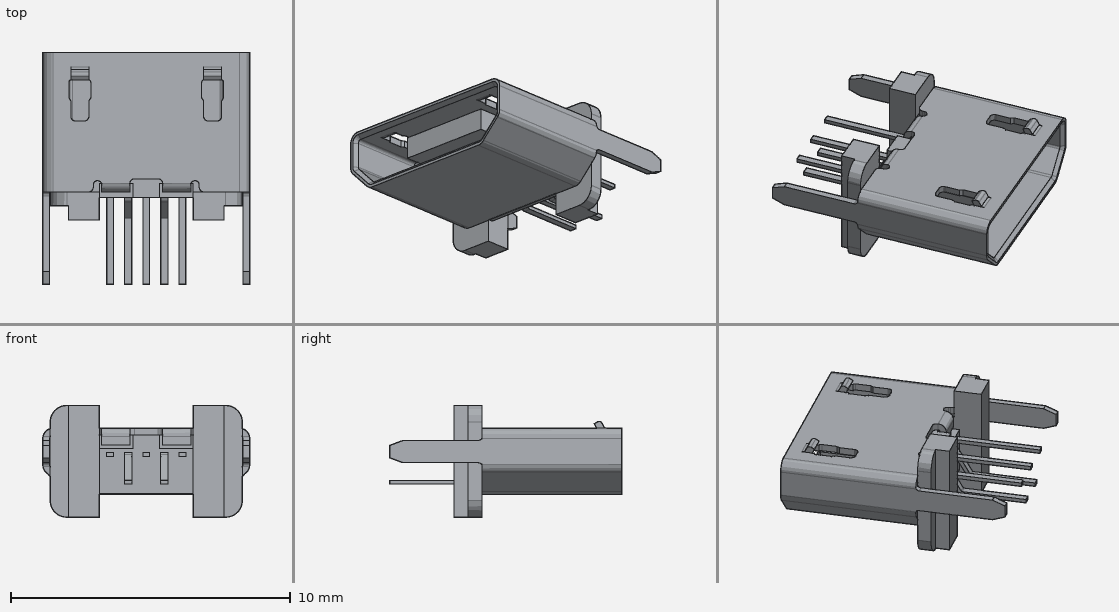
import cadquery as cq
import math


shell_length = 5.0
leg_length = 3.3
shell_half_width = 3.7
shell_half_height = 1.19
sheet = 0.25
mouth_chamfer = 0.14
corner_radius = 0.37
slope_top_z = -0.27

leg_top_z = 0.75
leg_bottom_z = -0.05
leg_root_radius = 0.13
leg_taper_length = 0.465
leg_taper_height = 0.175

window_x = 2.37
window_front_y = 4.01
window_rear_y = 2.54
window_step_y = 3.37
window_step_length = 0.11
window_wide_half = 0.39
window_half = 0.32
window_front_radius = 0.08
window_rear_radius = 0.17
hook_foot_y = 4.47
hook_rise_y = 4.37
hook_rise_z = 1.21
hook_bend_y = 4.28
hook_bend_z = 1.38
hook_top_y = 4.21
hook_top_z = 1.43
hook_crest_y = 4.13
hook_crest_z = 1.42
hook_tip_z = 1.345
hook_end_y = 4.12
hook_end_z = 1.12
hook_under_y = 4.26
hook_under_z = 1.005

tab_inner_x = 0.59
tab_outer_x = 1.59
tab_bottom_z = 0.59
tab_bend_radius = 0.3
notch_depth = 0.47
notch_radius = 0.17
relief_radius = 0.15
relief_depth = 0.41
relief_flare_radius = 0.18

ear_outer_x = 3.44
ear_half_height = 2.0
ear_thickness = 0.5
ear_radius = 0.6
post_outer_x = 2.78
post_inner_x = 1.68
post_depth = 1.005
panel_depth = 0.2
panel_bottom_z = -1.15
column_half_width = 0.48
tab_recess_floor_z = 0.46
plug_depth = 1.99
tongue_length = 2.025
tongue_half_width = 1.83
tongue_bottom_z = 0.0
tongue_top_z = 0.8

pin_pitch = 0.65
pin_z = 0.25
pin_thickness = 0.14
straight_pin_width = 0.25
bent_pin_width = 0.27
pin_embed = 1.0
bend_start_y = -0.265
bend_end_y = -0.89
bend_drop = 1.0
bend_outer_radius = 0.15
bend_inner_radius = 0.04

inside_top_z = shell_half_height - sheet


def box(x0, x1, y0, y1, z0, z1):
    return cq.Workplane("XY").box(x1 - x0, y1 - y0, z1 - z0, centered=False).translate((x0, y0, z0))


def tube_section(inset, y0, y1):
    """Solid with the shell's six-sided section, drawn in by `inset`, from y0 to y1."""
    half_width = shell_half_width - inset
    top = shell_half_height - inset
    slope_top = slope_top_z + inset * math.tan(math.pi / 8)
    bottom_half_width = half_width - (slope_top + top)
    right = [(half_width, top), (half_width, slope_top), (bottom_half_width, -top)]
    left = [(-x, z) for x, z in reversed(right)]
    body = cq.Workplane("XZ", origin=(0, y1, 0)).polyline(right + left).close().extrude(y1 - y0)
    return body.edges("|Y").fillet(corner_radius - inset)


def leg_outline():
    """Side outline of both legs, wide enough in X to cover the whole shell."""
    r = leg_root_radius
    turn = r * math.sqrt(0.5)
    taper_y = leg_taper_length - leg_length
    return (
        cq.Workplane("YZ", origin=(-shell_half_width, 0, 0))
        .moveTo(0, leg_top_z + r)
        .threePointArc((turn - r, leg_top_z + r - turn), (-r, leg_top_z))
        .lineTo(taper_y, leg_top_z)
        .lineTo(-leg_length, leg_top_z - leg_taper_height)
        .lineTo(-leg_length, leg_bottom_z + leg_taper_height)
        .lineTo(taper_y, leg_bottom_z)
        .lineTo(-r, leg_bottom_z)
        .threePointArc((turn - r, leg_bottom_z - r + turn), (0, leg_bottom_z - r))
        .close()
        .extrude(2 * shell_half_width)
    )


def window_cutter():
    """Window for one latch, wide at the front and narrower behind, centred on X = 0."""
    right = [
        (window_wide_half, window_front_y),
        (window_wide_half, window_step_y),
        (window_half, window_step_y - window_step_length),
        (window_half, window_rear_y),
    ]
    left = [(-x, y) for x, y in reversed(right)]
    body = cq.Workplane("XY").polyline(right + left).close().extrude(shell_half_height)
    body = body.edges("|Z and >Y").fillet(window_front_radius)
    return body.edges("|Z and <Y").fillet(window_rear_radius)


def latch_hook():
    """Strip curled up out of the top sheet in front of the window, its square end overhanging the inside."""
    return (
        cq.Workplane("YZ", origin=(-window_half, 0, 0))
        .moveTo(hook_foot_y, shell_half_height)
        .lineTo(hook_rise_y, hook_rise_z)
        .lineTo(hook_bend_y, hook_bend_z)
        .threePointArc((hook_top_y, hook_top_z), (hook_crest_y, hook_crest_z))
        .lineTo(window_front_y, hook_tip_z)
        .lineTo(hook_end_y, hook_end_z)
        .threePointArc((hook_under_y, hook_under_z), (hook_foot_y, inside_top_z))
        .close()
        .extrude(2 * window_half)
    )


def rear_notches():
    """Central notch and the round reliefs that free the two tabs from the top sheet."""
    height = shell_half_height
    notch = box(-tab_inner_x, tab_inner_x, 0, notch_depth, 0, height)
    notch = notch.edges("|Z and >Y").fillet(notch_radius)
    x0 = tab_outer_x
    x1 = tab_outer_x + 2 * relief_radius
    centre_y = relief_depth - relief_radius
    f = relief_flare_radius
    turn = f * math.sqrt(0.5)
    relief = (
        cq.Workplane("XY")
        .moveTo(x0, 0)
        .lineTo(x0, centre_y)
        .threePointArc((x0 + relief_radius, relief_depth), (x1, centre_y))
        .lineTo(x1, f)
        .threePointArc((x1 + f - turn, f - turn), (x1 + f, 0))
        .close()
        .extrude(height)
    )
    return notch.union(relief).union(relief.mirror("YZ"))


def rear_tab():
    """Tab bent down from the top sheet on the +X side."""
    outer = tab_bend_radius
    inner = tab_bend_radius - sheet
    bend_z = shell_half_height - tab_bend_radius
    diagonal = math.sqrt(0.5)
    return (
        cq.Workplane("YZ", origin=(tab_inner_x, 0, 0))
        .moveTo(outer, shell_half_height)
        .threePointArc((outer - outer * diagonal, bend_z + outer * diagonal), (0, bend_z))
        .lineTo(0, tab_bottom_z)
        .lineTo(sheet, tab_bottom_z)
        .lineTo(sheet, bend_z)
        .threePointArc((outer - inner * diagonal, bend_z + inner * diagonal), (outer, inside_top_z))
        .close()
        .extrude(tab_outer_x - tab_inner_x)
    )


def make_shell():
    tube = tube_section(0, 0, shell_length).cut(tube_section(sheet, 0, shell_length))
    inner_mouth_edges = tube.faces(">Y").val().innerWires()[0].Edges()
    tube = tube.newObject(inner_mouth_edges).chamfer(mouth_chamfer)
    sides = tube_section(0, -leg_length, 0).cut(tube_section(sheet, -leg_length, 0))
    shell = tube.union(sides.intersect(leg_outline()))
    shell = shell.cut(rear_notches())
    tab = rear_tab()
    tab_room = box(tab_inner_x, tab_outer_x, 0, tab_bend_radius, tab_bottom_z, shell_half_height)
    shell = shell.cut(tab_room).cut(tab_room.mirror("YZ"))
    shell = shell.union(tab).union(tab.mirror("YZ"))
    hook_room = box(-window_half, window_half, window_front_y, hook_foot_y, 0, shell_half_height)
    for x in (-window_x, window_x):
        shell = shell.cut(window_cutter().translate((x, 0, 0)))
        shell = shell.cut(hook_room.translate((x, 0, 0)))
        shell = shell.union(latch_hook().translate((x, 0, 0)))
    return shell


def make_ear():
    """Flange with rounded outer corners and the post behind it, on the +X side."""
    flange = box(post_inner_x, ear_outer_x, -ear_thickness, 0, -ear_half_height, ear_half_height)
    flange = flange.edges("|Y and >X").fillet(ear_radius)
    post = box(post_inner_x, post_outer_x, -post_depth, 0, -ear_half_height, ear_half_height)
    return flange.union(post)


def make_insulator(pins):
    """Rear panel, ears, plug inside the shell and tongue, with a matching hole for each pin."""
    ear = make_ear()
    panel = box(-post_inner_x, post_inner_x, -panel_depth, 0, panel_bottom_z, inside_top_z)
    plug = tube_section(sheet, 0, plug_depth)
    tongue = box(
        -tongue_half_width, tongue_half_width,
        plug_depth, plug_depth + tongue_length,
        tongue_bottom_z, tongue_top_z,
    )
    body = panel.union(plug).union(ear).union(ear.mirror("YZ")).union(tongue)
    recess = box(
        column_half_width, post_inner_x,
        -panel_depth, tab_bend_radius,
        tab_recess_floor_z, inside_top_z,
    )
    body = body.cut(recess).cut(recess.mirror("YZ"))
    for pin in pins:
        body = body.cut(pin)
    return body


def straight_pin(x):
    half_width = straight_pin_width / 2
    half_thickness = pin_thickness / 2
    return box(
        x - half_width, x + half_width,
        -leg_length, pin_embed,
        pin_z - half_thickness, pin_z + half_thickness,
    )


def bent_pin(x):
    """Pin that steps down behind the insulator, with rounded bends."""
    half = pin_thickness / 2
    angle = math.atan2(bend_drop, bend_start_y - bend_end_y)
    shift = half * math.tan(angle / 2)
    low_z = pin_z - bend_drop
    upper_outer = (bend_start_y - shift, pin_z + half)
    lower_inner = (bend_end_y - shift, low_z + half)
    lower_outer = (bend_end_y + shift, low_z - half)
    upper_inner = (bend_start_y + shift, pin_z - half)
    outline = [
        (pin_embed, pin_z + half),
        upper_outer,
        lower_inner,
        (-leg_length, low_z + half),
        (-leg_length, low_z - half),
        lower_outer,
        upper_inner,
        (pin_embed, pin_z - half),
    ]
    pin = cq.Workplane("YZ").polyline(outline).close().extrude(bent_pin_width / 2, both=True)
    bends = [
        (upper_outer, bend_outer_radius),
        (lower_inner, bend_inner_radius),
        (lower_outer, bend_outer_radius),
        (upper_inner, bend_inner_radius),
    ]
    for (y, z), radius in bends:
        bend_edge = cq.selectors.NearestToPointSelector((0, y, z))
        pin = pin.edges("|X").edges(bend_edge).fillet(radius)
    return pin.translate((x, 0, 0))


pins = [straight_pin(n * pin_pitch) for n in (-2, 0, 2)]
pins += [bent_pin(n * pin_pitch) for n in (-1, 1)]
shell = make_shell()
insulator = make_insulator(pins)

result = cq.Compound.makeCompound([shell.val(), insulator.val(), *[pin.val() for pin in pins]])